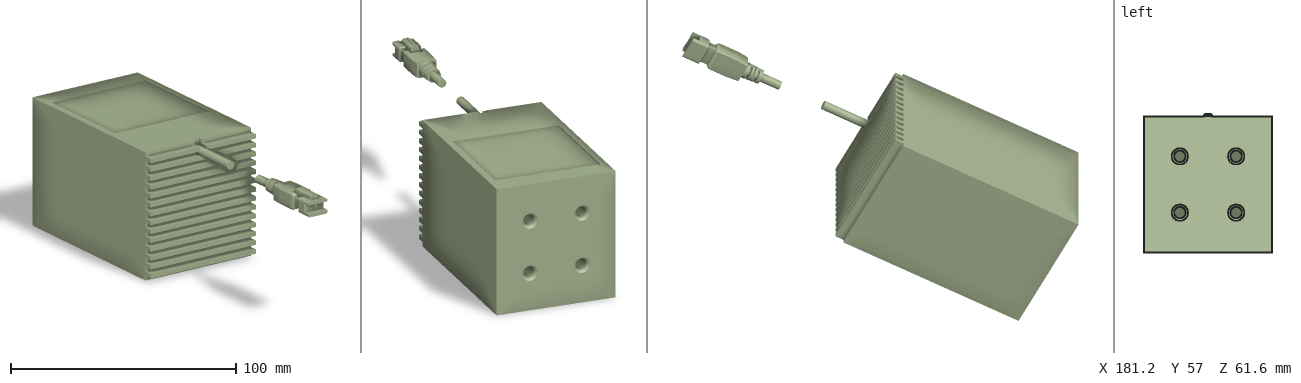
import cadquery as cq

HOUSING_WIDTH = 57.0
HOUSING_HEIGHT = 60.5
FRONT_PLATE_THICKNESS = 1.6
BACK_PLATE_START = 85.9
BACK_PLATE_THICKNESS = 2.2
BACK_PLATE_END = BACK_PLATE_START + BACK_PLATE_THICKNESS
SIDE_PANEL_THICKNESS = 3.3
CORE_WIDTH = HOUSING_WIDTH - 2 * SIDE_PANEL_THICKNESS

LABEL_RECESS_START = 10.1
LABEL_RECESS_END = 59.8
LABEL_RECESS_DEPTH = 0.5

FIN_COUNT = 14
FIN_PITCH = 4.18
FIN_THICKNESS = 2.0
FIN_LENGTH = 4.0
LOWEST_FIN_BOTTOM = 2.2

MOUNT_HOLE_DIAMETER = 5.0
MOUNT_HOLE_PITCH = 25.0
MOUNT_HOLE_DEPTH = 10.0
MOUNT_HOLE_RIM_DIAMETER = 7.2
MOUNT_HOLE_CENTRE_Z = 30.3

CABLE_DIAMETER = 4.0
CABLE_RADIUS = CABLE_DIAMETER / 2
CABLE_Z = 56.0
CABLE_STUB_END = 113.2

PLUG_CABLE_START = 135.0
BOOT_START = 144.7
GRIP_START = 153.5
GRIP_TAPER_END = 158.9
GRIP_END = 169.2
HEAD_START = 173.0
HEAD_WALL_END = 177.9
PLUG_END = 181.2

BOOT_START_RADIUS = 3.3
BOOT_END_RADIUS = 3.8
WIDE_GROOVE = 1.0
NARROW_GROOVE = 0.5
FIRST_GROOVE_X = 146.4
SECOND_GROOVE_X = 148.5
THIRD_GROOVE_X = 150.2
BRIDGE_THICKNESS = 1.6

GRIP_START_WIDTH = 9.5
GRIP_WIDTH = 10.5
GRIP_HEIGHT = 7.6
GRIP_EDGE_RADIUS = 0.7
GRIP_NOSE_INSET = 0.5
GRIP_NOSE_LENGTH = 1.0
GRIP_NOSE_START = GRIP_END - GRIP_NOSE_LENGTH
NECK_WIDTH = 8.3
NECK_HEIGHT = 4.5
NECK_TOP = CABLE_Z + NECK_HEIGHT / 2
LATCH_POCKET_START = 164.8
LATCH_POCKET_WIDTH = 6.2
HEAD_HEIGHT = 7.2
HEAD_EDGE_RADIUS = 1.0
HEAD_REAR_BEVEL = 0.4
LIP_THICKNESS = 1.6

LATCH_START = 167.0
LATCH_END = 178.0
LATCH_WIDTH = 4.0
LATCH_BOTTOM = 59.2
LATCH_TOP = 61.6
LATCH_BEVEL = 0.7
LATCH_GROOVE_WIDTH = 0.4
LATCH_GROOVE_DEPTH = 0.5
LATCH_POST_START = 171.2
CONTACT_DIAMETER = 0.7
CONTACT_Z = 56.5
CONTACT_END = 180.0


def block(x_start, x_end, width, z_bottom, z_top, y_centre=0.0):
    """Box between two X stations and two heights, centred in Y on y_centre."""
    size = (x_end - x_start, width, z_top - z_bottom)
    corner = (x_start, y_centre - width / 2, z_bottom)
    return cq.Workplane("XY").box(*size, centered=False).translate(corner)


def rod(x_start, x_end, diameter, z):
    """Cylinder along X in the plane Y = 0."""
    return cq.Workplane("YZ", origin=(x_start, 0, z)).circle(diameter / 2).extrude(x_end - x_start)


def mounting_holes():
    """Four blind holes with countersunk rims, entering the front plate along +X."""
    rim_radius = MOUNT_HOLE_RIM_DIAMETER / 2
    hole_radius = MOUNT_HOLE_DIAMETER / 2
    half_profile = [
        (0, 0),
        (0, rim_radius),
        (rim_radius - hole_radius, hole_radius),
        (MOUNT_HOLE_DEPTH, hole_radius),
        (MOUNT_HOLE_DEPTH, 0),
    ]
    hole = cq.Workplane("XZ").polyline(half_profile).close().revolve(360, (0, 0, 0), (1, 0, 0))
    half_pitch = MOUNT_HOLE_PITCH / 2
    return [
        hole.translate((0, y, MOUNT_HOLE_CENTRE_Z + z))
        for y in (-half_pitch, half_pitch)
        for z in (-half_pitch, half_pitch)
    ]


def cooling_fins():
    """Horizontal fins on the back plate."""
    fins = []
    for index in range(FIN_COUNT):
        fin_bottom = LOWEST_FIN_BOTTOM + index * FIN_PITCH
        fin_top = fin_bottom + FIN_THICKNESS
        fins.append(block(BACK_PLATE_END, BACK_PLATE_END + FIN_LENGTH, HOUSING_WIDTH, fin_bottom, fin_top))
    return fins


def make_housing():
    housing = block(0, FRONT_PLATE_THICKNESS, HOUSING_WIDTH, 0, HOUSING_HEIGHT)
    core = block(0, BACK_PLATE_START, CORE_WIDTH, 0, HOUSING_HEIGHT)
    housing = housing.union(core)
    for side in (-1, 1):
        panel_y = side * (HOUSING_WIDTH - SIDE_PANEL_THICKNESS) / 2
        panel = block(
            FRONT_PLATE_THICKNESS, BACK_PLATE_START, SIDE_PANEL_THICKNESS, 0, HOUSING_HEIGHT, panel_y
        )
        housing = housing.union(panel, clean=False)

    back = block(BACK_PLATE_START, BACK_PLATE_END, HOUSING_WIDTH, 0, HOUSING_HEIGHT)
    for fin in cooling_fins():
        back = back.union(fin)
    cable_slot = block(
        BACK_PLATE_START, BACK_PLATE_END + FIN_LENGTH, CABLE_DIAMETER, CABLE_Z, HOUSING_HEIGHT
    )
    back = back.cut(cable_slot)
    housing = housing.union(back, clean=False)

    label_recess = block(
        LABEL_RECESS_START,
        LABEL_RECESS_END,
        CORE_WIDTH,
        HOUSING_HEIGHT - LABEL_RECESS_DEPTH,
        HOUSING_HEIGHT,
    )
    housing = housing.cut(label_recess, clean=False)
    for hole in mounting_holes():
        housing = housing.cut(hole, clean=False)
    cable_stub = rod(BACK_PLATE_START, CABLE_STUB_END, CABLE_DIAMETER, CABLE_Z)
    return housing.union(cable_stub, clean=False)


def boot_groove(x_start, length, bridge_axis):
    """Ring groove down to the cable, left uncut at two bridges across the given axis."""
    ring = (
        cq.Workplane("YZ", origin=(x_start, 0, CABLE_Z))
        .circle(GRIP_WIDTH / 2)
        .circle(CABLE_RADIUS)
        .extrude(length)
    )
    bridge_size = (GRIP_WIDTH, BRIDGE_THICKNESS) if bridge_axis == "Y" else (BRIDGE_THICKNESS, GRIP_WIDTH)
    bridges = cq.Workplane("YZ", origin=(x_start, 0, CABLE_Z)).rect(*bridge_size).extrude(length)
    return ring.cut(bridges)


def make_boot():
    """Conical strain relief, flexible through grooves whose bridges alternate by a quarter turn."""
    boot = (
        cq.Workplane("YZ", origin=(BOOT_START, 0, CABLE_Z))
        .circle(BOOT_START_RADIUS)
        .workplane(offset=GRIP_START - BOOT_START)
        .circle(BOOT_END_RADIUS)
        .loft()
    )
    boot = boot.cut(boot_groove(FIRST_GROOVE_X, WIDE_GROOVE, "Y"))
    boot = boot.cut(boot_groove(SECOND_GROOVE_X, NARROW_GROOVE, "Z"))
    return boot.cut(boot_groove(THIRD_GROOVE_X, WIDE_GROOVE, "Y"))


def make_grip():
    """Rounded block that widens behind the boot and narrows again in a short nose around the neck."""
    half_start = GRIP_START_WIDTH / 2
    half_width = GRIP_WIDTH / 2
    outline = [
        (GRIP_START, -half_start),
        (GRIP_TAPER_END, -half_width),
        (GRIP_NOSE_START, -half_width),
        (GRIP_NOSE_START, half_width),
        (GRIP_TAPER_END, half_width),
        (GRIP_START, half_start),
    ]
    grip = (
        cq.Workplane("XY", origin=(0, 0, CABLE_Z - GRIP_HEIGHT / 2))
        .polyline(outline)
        .close()
        .extrude(GRIP_HEIGHT)
    )
    grip = grip.faces("<Z or >Z").edges("not(|Y)").fillet(GRIP_EDGE_RADIUS)
    nose_base = cq.Sketch().rect(GRIP_WIDTH, GRIP_HEIGHT).vertices().fillet(GRIP_EDGE_RADIUS)
    nose_tip = (
        cq.Sketch()
        .rect(GRIP_WIDTH - 2 * GRIP_NOSE_INSET, GRIP_HEIGHT - 2 * GRIP_NOSE_INSET)
        .vertices()
        .fillet(GRIP_EDGE_RADIUS)
    )
    nose = (
        cq.Workplane("YZ", origin=(GRIP_NOSE_START, 0, CABLE_Z))
        .placeSketch(nose_base, nose_tip.moved(cq.Location(cq.Vector(0, 0, GRIP_NOSE_LENGTH))))
        .loft()
    )
    return grip.union(nose)


def make_head():
    """Rounded head whose upper and lower lips reach past its solid part."""
    head_bottom = CABLE_Z - HEAD_HEIGHT / 2
    head_top = CABLE_Z + HEAD_HEIGHT / 2
    head = block(HEAD_START, PLUG_END, GRIP_WIDTH, head_bottom, head_top)
    head = head.edges("|X").fillet(HEAD_EDGE_RADIUS).faces("<X").chamfer(HEAD_REAR_BEVEL)
    mouth = block(
        HEAD_WALL_END, PLUG_END, GRIP_WIDTH, head_bottom + LIP_THICKNESS, head_top - LIP_THICKNESS
    )
    latch_channel = block(HEAD_START, PLUG_END, LATCH_WIDTH, LATCH_BOTTOM, head_top)
    return head.cut(mouth).cut(latch_channel)


def make_latch():
    """Latch bar on a post, bevelled along its top and split by a shallow groove."""
    bar = block(LATCH_START, LATCH_END, LATCH_WIDTH, LATCH_BOTTOM, LATCH_TOP)
    bar = bar.faces(">Z").edges("|X").chamfer(LATCH_BEVEL)
    groove = block(
        LATCH_START, LATCH_END, LATCH_GROOVE_WIDTH, LATCH_TOP - LATCH_GROOVE_DEPTH, LATCH_TOP
    )
    post = block(LATCH_POST_START, HEAD_START, LATCH_WIDTH, NECK_TOP, LATCH_BOTTOM)
    return bar.cut(groove).union(post)


def make_plug():
    latch_pocket = block(
        LATCH_POCKET_START, GRIP_END, LATCH_POCKET_WIDTH, NECK_TOP, CABLE_Z + GRIP_HEIGHT / 2
    )
    neck = block(GRIP_END, HEAD_START, NECK_WIDTH, NECK_TOP - NECK_HEIGHT, NECK_TOP)
    contact = rod(HEAD_WALL_END, CONTACT_END, CONTACT_DIAMETER, CONTACT_Z)
    plug = rod(PLUG_CABLE_START, GRIP_START, CABLE_DIAMETER, CABLE_Z)
    plug = plug.union(make_boot()).union(make_grip().cut(latch_pocket))
    return plug.union(neck).union(make_head()).union(make_latch()).union(contact)


housing = make_housing()
plug = make_plug()
result = cq.Compound.makeCompound([housing.val(), plug.val()])